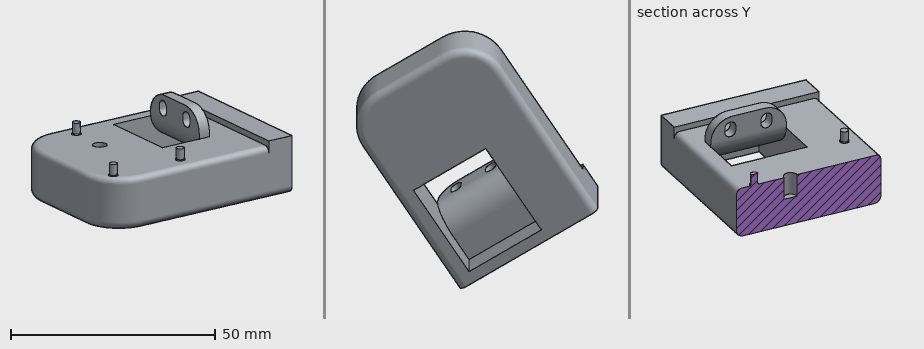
import cadquery as cq
import math

width = 40.0
length = 55.0
plate_top = 13.5
corner_radius = 10.5
top_round = 1.6
bottom_round = 2.0

rim_depth = 7.0
rim_top = 15.0

opening_center_x = -4.95
opening_width = 20.9
opening_front = 26.4
opening_back = 37.4
lug_thickness = 3.0
lug_top = 20.5
lug_corner_radius = 6.0
slot_center_x = -5.0
slot_spacing = 10.0
slot_width = 3.0
slot_height = 4.0
slot_center_z = 17.0

bend_inner_radius = 4.0
bend_radius = bend_inner_radius + lug_thickness
bend_center_y = opening_back + bend_radius
bend_center_z = lug_top - lug_corner_radius
back_wall = 3.0

pitch = 10.0
pin_diameter = 2.0
pin_top = 16.5
pin_flare = 0.2
pin_points = [(1.5 * pitch, 0.5 * pitch), (-1.5 * pitch, 1.5 * pitch), (1.5 * pitch, 2.5 * pitch)]
hole_diameter = 3.5
hole_depth = 6.0
hole_point = (-0.5 * pitch, 1.5 * pitch)


def upright_box(box_width, front, back, bottom, top, center_x=0.0):
    """Box spanning front to back in Y and bottom to top in Z."""
    return (
        cq.Workplane("XY", origin=(center_x, (front + back) / 2, bottom))
        .rect(box_width, back - front)
        .extrude(top - bottom)
    )


def make_body():
    """Plate with two round front corners, rounded rims and a taller back edge."""
    plate = upright_box(width, 0, length, 0, plate_top)
    plate = plate.edges("|Z and <Y").fillet(corner_radius)
    plate = plate.faces("<Z").edges("not >Y").fillet(bottom_round)
    plate = plate.faces(">Z").edges("not >Y").fillet(top_round)
    rim = upright_box(width, length - rim_depth, length, plate_top - top_round, rim_top)
    return plate.union(rim)


def make_lug():
    """Upright lug with round top corners and two vertical slots."""
    lug_back = opening_back + lug_thickness
    lug_root = plate_top - top_round
    lug = upright_box(opening_width, opening_back, lug_back, lug_root, lug_top, opening_center_x)
    lug = lug.edges("|Y and >Z").fillet(lug_corner_radius)
    slots = (
        cq.Workplane("XZ", origin=(slot_center_x, lug_back, slot_center_z))
        .pushPoints([(-slot_spacing / 2, 0), (slot_spacing / 2, 0)])
        .slot2D(slot_height, slot_width, 90)
        .extrude(lug_thickness)
    )
    return lug.cut(slots)


def make_pins():
    """Pins rooted in the plate, each with a small flare where it leaves the top face."""
    root = plate_top - top_round
    pin_radius = pin_diameter / 2
    profile = (
        cq.Workplane("XZ")
        .moveTo(0, root)
        .lineTo(pin_radius, root)
        .lineTo(pin_radius, plate_top - pin_flare)
        .lineTo(pin_radius + pin_flare, plate_top)
        .lineTo(pin_radius, plate_top + pin_flare)
        .lineTo(pin_radius, pin_top)
        .lineTo(0, pin_top)
        .close()
    )
    pin = profile.revolve(360, (0, 0, 0), (0, 1, 0))
    pins = cq.Workplane("XY")
    for x, y in pin_points:
        pins = pins.add(pin.translate((x, y, 0)))
    return pins.combine()


def make_opening():
    """Opening through the plate, with a recess running back beneath the bend."""
    diagonal = bend_radius * math.sqrt(0.5)
    return (
        cq.Workplane("YZ", origin=(opening_center_x - opening_width / 2, 0, 0))
        .moveTo(opening_front, 0)
        .lineTo(length - back_wall, 0)
        .lineTo(length - back_wall, bend_center_z - bend_radius)
        .lineTo(bend_center_y, bend_center_z - bend_radius)
        .threePointArc((bend_center_y - diagonal, bend_center_z - diagonal), (opening_back, bend_center_z))
        .lineTo(opening_front, bend_center_z)
        .close()
        .extrude(opening_width)
    )


def make_blind_hole():
    """Round hole sunk into the top face."""
    return (
        cq.Workplane("XY", origin=(0, 0, plate_top - hole_depth))
        .pushPoints([hole_point])
        .circle(hole_diameter / 2)
        .extrude(hole_depth)
    )


body = make_body().union(make_lug()).union(make_pins())
result = body.cut(make_opening()).cut(make_blind_hole())